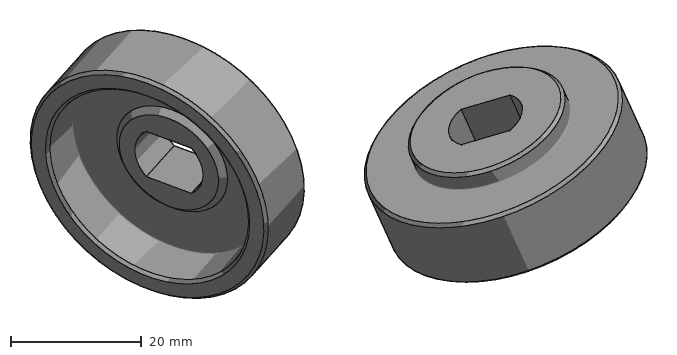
import cadquery as cq
import math

body_radius = 21.0
body_width = 12.0
edge_chamfer = 0.5

recess_radius = 17.5
recess_depth = 7.5
recess_floor_fillet = 0.2

hub_base_radius = 9.75
hub_face_radius = 8.75
hub_height = 1.0

boss_radius = 12.75
boss_height = 3.0
boss_root_fillet = 0.2

bore_radius = 6.0
bore_across_flats = 9.0

back_y = body_width
boss_end_y = body_width + boss_height
hub_face_y = recess_depth - hub_height


def make_revolved_wheel():
    """Revolve the half section (radius, y) of the body, recess, hub and boss about Y."""
    diagonal = math.sqrt(0.5)
    floor_fillet_center = (recess_radius - recess_floor_fillet, recess_depth - recess_floor_fillet)
    floor_fillet_middle = (
        floor_fillet_center[0] + recess_floor_fillet * diagonal,
        floor_fillet_center[1] + recess_floor_fillet * diagonal,
    )
    root_fillet_center = (boss_radius + boss_root_fillet, back_y + boss_root_fillet)
    root_fillet_middle = (
        root_fillet_center[0] - boss_root_fillet * diagonal,
        root_fillet_center[1] - boss_root_fillet * diagonal,
    )
    radius_y_plane = cq.Plane(origin=(0, 0, 0), xDir=(0, 0, 1), normal=(-1, 0, 0))
    section = (
        cq.Workplane(radius_y_plane)
        .moveTo(0, hub_face_y)
        .lineTo(hub_face_radius, hub_face_y)
        .lineTo(hub_base_radius, recess_depth)
        .lineTo(floor_fillet_center[0], recess_depth)
        .threePointArc(floor_fillet_middle, (recess_radius, floor_fillet_center[1]))
        .lineTo(recess_radius, edge_chamfer)
        .lineTo(recess_radius + edge_chamfer, 0)
        .lineTo(body_radius - edge_chamfer, 0)
        .lineTo(body_radius, edge_chamfer)
        .lineTo(body_radius, back_y - edge_chamfer)
        .lineTo(body_radius - edge_chamfer, back_y)
        .lineTo(root_fillet_center[0], back_y)
        .threePointArc(root_fillet_middle, (boss_radius, root_fillet_center[1]))
        .lineTo(boss_radius, boss_end_y - edge_chamfer)
        .lineTo(boss_radius - edge_chamfer, boss_end_y)
        .lineTo(0, boss_end_y)
        .close()
    )
    return section.revolve(360, (0, 0, 0), (0, 1, 0))


def make_bore():
    """Round bore cutter with flats above and below, running along Y."""
    cylinder = cq.Workplane("XZ").circle(bore_radius).extrude(-boss_end_y)
    flats = cq.Workplane("XZ").rect(2 * bore_radius, bore_across_flats).extrude(-boss_end_y)
    return cylinder.intersect(flats)


result = make_revolved_wheel().cut(make_bore())